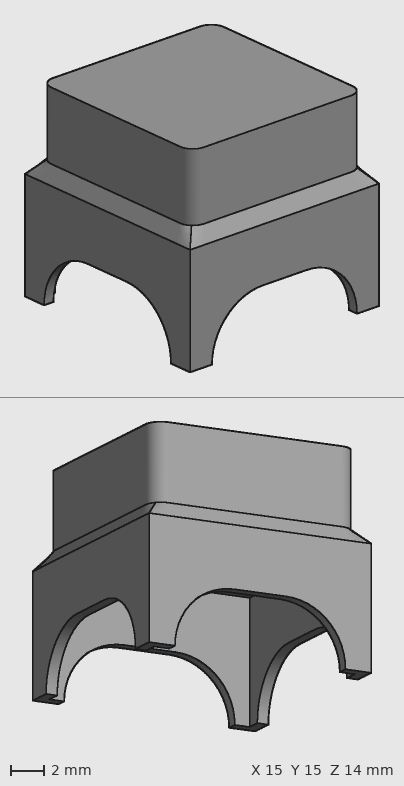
import cadquery as cq
import math

base_width = 15.0
total_height = 14.0
skirt_height = 8.0
shoulder_height = 1.0
cap_width = 13.7
cap_corner_radius = 1.0
shoulder_split = 1.08
arch_width = 11.5
arch_height = 4.0
wall_thickness = 0.75

half_base = base_width / 2
half_cap = cap_width / 2
cap_bottom = skirt_height + shoulder_height
cap_height = total_height - cap_bottom


def turned(x, y, z, quarter_turns):
    """Point turned about the Z axis by a number of quarter turns."""
    for _ in range(quarter_turns):
        x, y = -y, x
    return cq.Vector(x, y, z)


def closed_wire(corner_edges):
    """Closed outline from the edges of one corner and the straight side that follows it."""
    edges = []
    for turn in range(4):
        edges += corner_edges(turn)
    return cq.Wire.assembleEdges(edges)


def skirt_corner(turn):
    """Sharp corner split into two short edges, then the side up to the next corner."""
    split = half_base - shoulder_split
    points = [
        turned(half_base, split, skirt_height, turn),
        turned(half_base, half_base, skirt_height, turn),
        turned(split, half_base, skirt_height, turn),
        turned(-split, half_base, skirt_height, turn),
    ]
    return [cq.Edge.makeLine(start, end) for start, end in zip(points, points[1:])]


def cap_corner(turn):
    """Round corner split into two equal arcs, then the side up to the next corner."""
    centre = half_cap - cap_corner_radius

    def on_arc(angle):
        x = centre + cap_corner_radius * math.cos(math.radians(angle))
        y = centre + cap_corner_radius * math.sin(math.radians(angle))
        return turned(x, y, cap_bottom, turn)

    return [
        cq.Edge.makeThreePointArc(on_arc(0), on_arc(22.5), on_arc(45)),
        cq.Edge.makeThreePointArc(on_arc(45), on_arc(67.5), on_arc(90)),
        cq.Edge.makeLine(on_arc(90), turned(-centre, half_cap, cap_bottom, turn)),
    ]


def make_shoulder():
    """Ruled transition from the square skirt to the rounded cap."""
    wires = [closed_wire(skirt_corner), closed_wire(cap_corner)]
    return cq.Workplane(obj=cq.Solid.makeLoft(wires, True))


def make_cap():
    return (
        cq.Workplane("XY", origin=(0, 0, cap_bottom))
        .rect(cap_width, cap_width)
        .extrude(cap_height)
        .edges("|Z")
        .fillet(cap_corner_radius)
    )


def make_skirt():
    """Square skirt, hollow from below up to the underside of the shoulder."""
    inner_width = base_width - 2 * wall_thickness
    outer = cq.Workplane("XY").rect(base_width, base_width).extrude(skirt_height)
    hollow = cq.Workplane("XY").rect(inner_width, inner_width).extrude(skirt_height)
    return outer.cut(hollow)


def make_arch(plane):
    """Flat-topped arch running through both opposite skirt walls."""
    half_arch = arch_width / 2
    half_crown = half_arch - arch_height
    haunch = arch_height * math.sqrt(0.5)
    return (
        cq.Workplane(plane)
        .moveTo(-half_arch, 0)
        .threePointArc((-half_crown - haunch, haunch), (-half_crown, arch_height))
        .lineTo(half_crown, arch_height)
        .threePointArc((half_crown + haunch, haunch), (half_arch, 0))
        .close()
        .extrude(half_base, both=True)
    )


skirt = make_skirt().cut(make_arch("XZ")).cut(make_arch("YZ"))
result = skirt.union(make_shoulder()).union(make_cap())